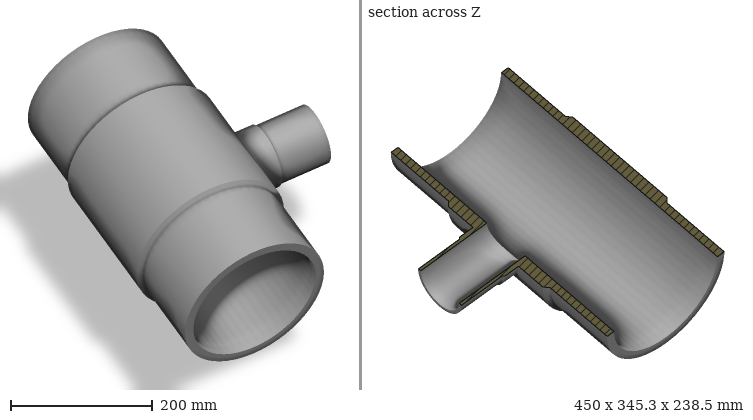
import cadquery as cq

pipe_length = 450.0
pipe_diameter = 225.0
pipe_wall = 13.5

sleeve_length = 211.0
sleeve_diameter = 238.5
sleeve_chamfer = (sleeve_diameter - pipe_diameter) / 2

branch_reach = 226.0
branch_diameter = 90.0
branch_wall = pipe_wall * branch_diameter / pipe_diameter
collar_reach = 147.5
collar_diameter = 95.5
collar_chamfer = (collar_diameter - branch_diameter) / 2


def cylinder_along_x(diameter, length):
    return cq.Workplane("YZ").circle(diameter / 2).extrude(length / 2, both=True)


def cylinder_along_y(diameter, reach):
    """Cylinder from the main axis out to y = reach."""
    return cq.Workplane("XZ").circle(diameter / 2).extrude(-reach)


pipe = cylinder_along_x(pipe_diameter, pipe_length)
sleeve = cylinder_along_x(sleeve_diameter, sleeve_length).edges("%CIRCLE").chamfer(sleeve_chamfer)
branch = cylinder_along_y(branch_diameter, branch_reach)
collar = cylinder_along_y(collar_diameter, collar_reach).faces(">Y").edges().chamfer(collar_chamfer)

main_bore = cylinder_along_x(pipe_diameter - 2 * pipe_wall, pipe_length)
branch_bore = cylinder_along_y(branch_diameter - 2 * branch_wall, branch_reach)

result = pipe.union(sleeve).union(branch).union(collar).cut(main_bore).cut(branch_bore)